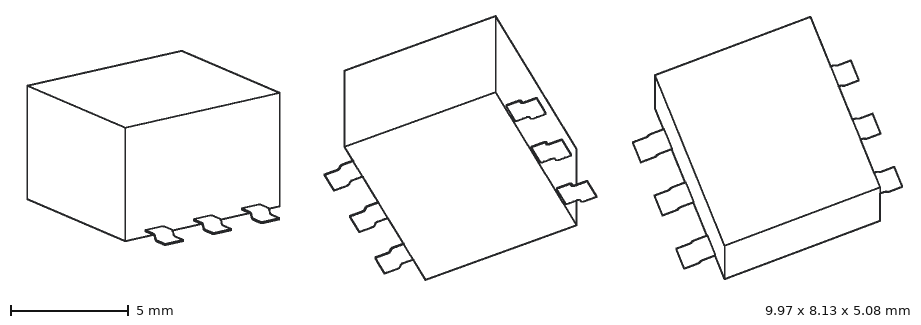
import cadquery as cq
import math

OVERALL_LENGTH = 9.97
BODY_LENGTH = 7.11
BODY_WIDTH = 8.13
BODY_HEIGHT = 5.08

LEADS_PER_SIDE = 3
LEAD_PITCH = 2.53
LEAD_WIDTH = 0.95
LEAD_THICKNESS = 0.06
SHOULDER_TOP = 0.3
FOOT_LENGTH = 0.6
INNER_BEND_RADIUS = 0.09
BEND_ANGLE = math.radians(70)

OUTER_BEND_RADIUS = INNER_BEND_RADIUS + LEAD_THICKNESS
BOTH_RADII = INNER_BEND_RADIUS + OUTER_BEND_RADIUS
TOE_X = -OVERALL_LENGTH / 2
BODY_SIDE_X = -BODY_LENGTH / 2
FOOT_END_X = TOE_X + FOOT_LENGTH
BEND_RISE = BOTH_RADII * (1 - math.cos(BEND_ANGLE))
SLOPE_LENGTH = (SHOULDER_TOP - LEAD_THICKNESS - BEND_RISE) / math.sin(BEND_ANGLE)
BEND_RUN = BOTH_RADII * math.sin(BEND_ANGLE) + SLOPE_LENGTH * math.cos(BEND_ANGLE)
SHOULDER_START_X = FOOT_END_X + BEND_RUN


def lower_bend_point(radius, angle):
    """Point on the bend above the foot, at an angle turned from the foot's end."""
    center_z = OUTER_BEND_RADIUS
    return FOOT_END_X + radius * math.sin(angle), center_z - radius * math.cos(angle)


def upper_bend_point(radius, angle):
    """Point on the bend below the shoulder, at an angle turned from the shoulder's start."""
    center_z = SHOULDER_TOP - OUTER_BEND_RADIUS
    return SHOULDER_START_X - radius * math.sin(angle), center_z + radius * math.cos(angle)


def make_body():
    """Plain rectangular body standing on Z = 0."""
    return cq.Workplane("XY").box(BODY_LENGTH, BODY_WIDTH, BODY_HEIGHT, centered=(True, True, False))


def make_lead(y_center):
    """S-bent flat lead that butts against the -X side of the body."""
    half_angle = BEND_ANGLE / 2
    return (
        cq.Workplane("XZ", origin=(0, y_center, 0))
        .moveTo(TOE_X, 0)
        .lineTo(FOOT_END_X, 0)
        .threePointArc(
            lower_bend_point(OUTER_BEND_RADIUS, half_angle),
            lower_bend_point(OUTER_BEND_RADIUS, BEND_ANGLE),
        )
        .lineTo(*upper_bend_point(INNER_BEND_RADIUS, BEND_ANGLE))
        .threePointArc(
            upper_bend_point(INNER_BEND_RADIUS, half_angle),
            upper_bend_point(INNER_BEND_RADIUS, 0),
        )
        .lineTo(BODY_SIDE_X, SHOULDER_TOP - LEAD_THICKNESS)
        .lineTo(BODY_SIDE_X, SHOULDER_TOP)
        .lineTo(SHOULDER_START_X, SHOULDER_TOP)
        .threePointArc(
            upper_bend_point(OUTER_BEND_RADIUS, half_angle),
            upper_bend_point(OUTER_BEND_RADIUS, BEND_ANGLE),
        )
        .lineTo(*lower_bend_point(INNER_BEND_RADIUS, BEND_ANGLE))
        .threePointArc(
            lower_bend_point(INNER_BEND_RADIUS, half_angle),
            lower_bend_point(INNER_BEND_RADIUS, 0),
        )
        .lineTo(TOE_X, LEAD_THICKNESS)
        .close()
        .extrude(LEAD_WIDTH / 2, both=True)
    )


body = make_body()

leads = []
for index in range(LEADS_PER_SIDE):
    y_center = (index - (LEADS_PER_SIDE - 1) / 2) * LEAD_PITCH
    lead = make_lead(y_center)
    leads.append(lead.val())
    leads.append(lead.mirror("YZ").val())

result = cq.Compound.makeCompound([body.val(), *leads])